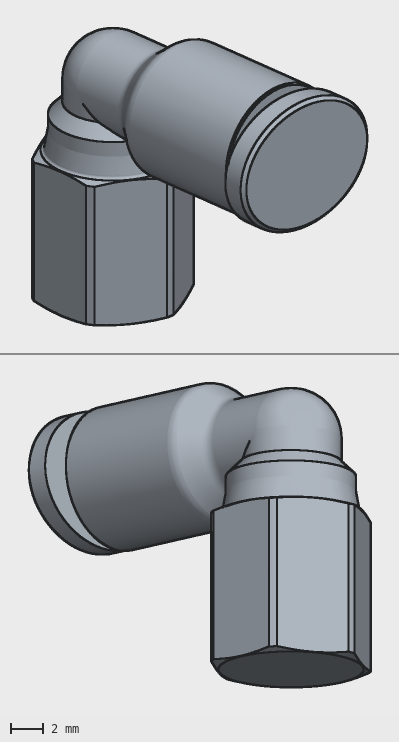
import cadquery as cq
import math

hex_flats = 9.0
hex_corner_radius = 5.05
hex_height = 9.8
hex_face_radius = 4.45
hex_chamfer_height = 0.2

root_fillet = 0.2
neck_foot_radius = 4.22
neck_radius = 4.0
neck_taper_height = 1.2
neck_straight_height = 1.0
elbow_radius = 3.12
shoulder_height = neck_radius - elbow_radius

arm_height = 14.6
sleeve_radius = 4.5
flare_start = 4.0
flare_end = 5.8
flare_fillet = 1.0
sleeve_end = 14.7
sleeve_chamfer = 0.1
stem_radius = 2.75

collar_start = 15.5
collar_end = 17.1
collar_half_width = 5.4
collar_half_height = 4.3
collar_chamfer = 0.25


def make_hex_base():
    """Hexagon with corners on the X axis, rounded and chamfered by a turned envelope."""
    across_corners = hex_flats / math.cos(math.pi / 6)
    prism = cq.Workplane("XY").polygon(6, across_corners).extrude(hex_height)
    envelope = (
        cq.Workplane("XZ")
        .lineTo(hex_face_radius, 0)
        .lineTo(hex_corner_radius, hex_chamfer_height)
        .lineTo(hex_corner_radius, hex_height - hex_chamfer_height)
        .lineTo(hex_face_radius, hex_height)
        .lineTo(0, hex_height)
        .close()
        .revolve(360, (0, 0), (0, 1))
    )
    return prism.intersect(envelope)


def make_neck():
    """Turned neck from inside the hexagon up to the centre of the elbow."""
    foot = hex_height + root_fillet
    taper_top = foot + neck_taper_height
    straight_top = taper_top + neck_straight_height
    arc_middle = root_fillet * (1 - math.sqrt(0.5))
    return (
        cq.Workplane("XZ")
        .moveTo(0, hex_height)
        .lineTo(neck_foot_radius + root_fillet, hex_height)
        .threePointArc(
            (neck_foot_radius + arc_middle, hex_height + arc_middle),
            (neck_foot_radius, foot),
        )
        .lineTo(neck_radius, taper_top)
        .lineTo(neck_radius, straight_top)
        .lineTo(elbow_radius, straight_top + shoulder_height)
        .lineTo(elbow_radius, arm_height)
        .lineTo(0, arm_height)
        .close()
        .revolve(360, (0, 0), (0, 1))
    )


def make_elbow():
    """Ball closing the corner where neck and arm meet."""
    return cq.Workplane("XY").sphere(elbow_radius).translate((0, 0, arm_height))


def make_arm():
    """Tube, flare, sleeve and stem turned about the arm axis."""
    flare_angle = math.atan2(sleeve_radius - elbow_radius, flare_end - flare_start)
    tangent = flare_fillet * math.tan(flare_angle / 2)
    along = tangent * math.cos(flare_angle)
    across = tangent * math.sin(flare_angle)
    return (
        cq.Workplane("XZ", origin=(0, 0, arm_height))
        .lineTo(0, elbow_radius)
        .lineTo(flare_start - tangent, elbow_radius)
        .tangentArcPoint((flare_start + along, elbow_radius + across), relative=False)
        .lineTo(flare_end - along, sleeve_radius - across)
        .tangentArcPoint((flare_end + tangent, sleeve_radius), relative=False)
        .lineTo(sleeve_end - sleeve_chamfer, sleeve_radius)
        .lineTo(sleeve_end, sleeve_radius - sleeve_chamfer)
        .lineTo(sleeve_end, stem_radius)
        .lineTo(collar_start, stem_radius)
        .lineTo(collar_start, 0)
        .close()
        .revolve(360, (0, 0), (1, 0))
    )


def make_collar():
    """Elliptical plate with its outer rim chamfered."""
    return (
        cq.Workplane("YZ", origin=(collar_start, 0, arm_height))
        .ellipse(collar_half_width, collar_half_height)
        .extrude(collar_end - collar_start)
        .faces(">X")
        .edges()
        .chamfer(collar_chamfer)
    )


result = make_hex_base()
for piece in (make_neck(), make_elbow(), make_arm(), make_collar()):
    result = result.union(piece)